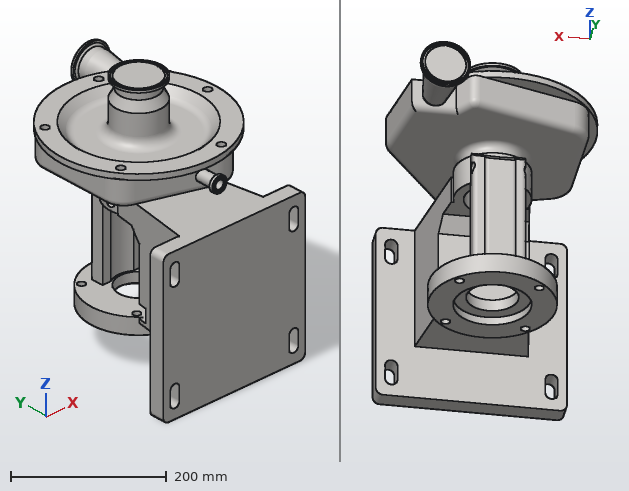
import cadquery as cq
import math


PLATE_SIZE = 249.8
PLATE_THICKNESS = 25.0
PLATE_BACK_Y = -180.0
PLATE_FRONT_Y = PLATE_BACK_Y + PLATE_THICKNESS
PLATE_CORNER_R = 9.5
SLOT_LENGTH = 36.2
SLOT_WIDTH = 16.0
SLOT_PITCH_X = 209.2
SLOT_PITCH_Z = 180.5

BRACKET_TOP_Z = PLATE_SIZE
BRACKET_BOTTOM_Z = 76.5
BRACKET_ROOT_HALF_WIDTH = 74.0
BRACKET_TIP_HALF_WIDTH = 51.2
BRACKET_TIP_Y = -15.5
BRACKET_INNER_Y = -64.2
BRACKET_CHAMFER_Y = 17.7
BRACKET_CHAMFER_Z = 19.5
NOTCH_HEIGHT = 22.0
NOTCH_END_Y = -78.8
NOTCH_DEPTH_X = 28.8

HUB_R = 50.5
HUB_BOTTOM_Z = 212.8
HUB_TOP_Z = 253.0
BORE_R = 37.0
SIDE_HOLE_R = 7.5
SIDE_HOLE_Z = 225.8

RING_R = 83.0
RING_HOLE_R = 34.0
RING_BOTTOM_Z = 55.5
RING_TOP_Z = 82.7
RING_SPIGOT_R = 50.5
RING_SPIGOT_DEPTH = 11.0
RING_BOLT_CIRCLE_R = 73.5
RING_BOLT_COUNT = 4
RING_BOLT_HOLE_R = 6.0

POST_HALF_WIDTH = 34.5
POST_INNER_Y = 31.0
POST_STEP_Y = 55.0
POST_OUTER_Y = 64.5
POST_CORNER_R = 6.5
RIB_HALF_WIDTH = 19.7
RIB_CORNER_R = 4.7
POST_SLOPE_Y = 21.3
POST_SLOPE_Z = 17.5
POST_HOLE_R = 7.0
POST_HOLE_Y = 47.0
POST_HOLE_Z = 229.7

SIDES = 5
CORNER_STEP = 360 / SIDES
CASING_APOTHEM = 114.5
CASING_CORNER_R = 33.0
CASING_NOSE_R = 12.0
CASING_NOSE_SHIFT = 4.5
CASING_BOTTOM_Z = 272.3
CASING_EDGE_R = 9.5
OUTLET_PAD_X = 124.5
OUTLET_PAD_Y = 110.5
OUTLET_SIDE_TILT = 9.1
NECK_R = 41.8
NECK_FILLET_R = 9.0

DISC_R = 135.0
DISC_BOTTOM_Z = 315.5
DISC_TOP_Z = 325.0
DISC_BOLT_CIRCLE_R = 121.5
DISC_BOLT_HOLE_R = 6.5
RECESS_TOP_R = 105.0
RECESS_FLOOR_R = 83.5
RECESS_FLOOR_Z = 309.3
RECESS_FILLET_R = 14.5
RECESS_WALL_ANGLE = 45

INLET_TOP_Z = 394.0
INLET_RIM_R = 39.5
INLET_TUBE_R = 31.5
INLET_CONE_TOP_Z = 375.0
INLET_CONE_BOTTOM_Z = 359.7
INLET_BARREL_R = 39.5
INLET_FILLET_R = 15.5

OUTLET_X = 95.5
OUTLET_Z = 292.7
OUTLET_FACE_Y = 195.0
OUTLET_RIM_R = 32.5
OUTLET_TUBE_R = 25.5
OUTLET_CONE_TOP_Y = 176.0
OUTLET_CONE_BOTTOM_Y = 113.5
OUTLET_THROAT_R = 15.8
OUTLET_STUB_R = 13.5

DRAIN_Z = 295.5
DRAIN_FACE_Y = -152.0
DRAIN_RIM_R = 13.0
DRAIN_TUBE_R = 9.5
DRAIN_BORE_R = 7.0
DRAIN_BORE_DEPTH = 23.5
DRAIN_RIM_THICKNESS = 5.0
DRAIN_GROOVE_WIDTH = 2.0
DRAIN_LENGTH = 35.5

RIM_THICKNESS = 4.0
RIM_LEDGE = 3.0
TAPER_HEIGHT = 2.8
GROOVE_MARGIN = 2.5
GROOVE_WIDTH = 3.0
GROOVE_DEPTH = 1.5


def block(x_half, y_low, y_high, z_low, z_high):
    """Box centred on X = 0."""
    return cq.Workplane("XY").box(
        2 * x_half, y_high - y_low, z_high - z_low, centered=(True, False, False)
    ).translate((0, y_low, z_low))


def cylinder(radius, z_low, z_high):
    """Cylinder on the Z axis."""
    return cq.Workplane("XY").workplane(offset=z_low).circle(radius).extrude(z_high - z_low)


def mounting_plate():
    """Square plate with four upright slots."""
    plate = block(PLATE_SIZE / 2, PLATE_BACK_Y, PLATE_FRONT_Y, 0, PLATE_SIZE)
    plate = plate.edges("|Y").fillet(PLATE_CORNER_R)
    slot_centre_z = PLATE_SIZE / 2
    slots = (
        cq.Workplane("XZ", origin=(0, PLATE_FRONT_Y, slot_centre_z))
        .rarray(SLOT_PITCH_X, SLOT_PITCH_Z, 2, 2)
        .slot2D(SLOT_LENGTH, SLOT_WIDTH, 90)
        .extrude(PLATE_THICKNESS)
    )
    return plate.cut(slots)


def bracket_half_width(y):
    fraction = (BRACKET_TIP_Y - y) / (BRACKET_TIP_Y - PLATE_FRONT_Y)
    return BRACKET_TIP_HALF_WIDTH + fraction * (BRACKET_ROOT_HALF_WIDTH - BRACKET_TIP_HALF_WIDTH)


def bracket_arm():
    """L-shaped arm, narrowing from the plate to the hub."""
    side_profile = (
        cq.Workplane("YZ")
        .moveTo(PLATE_FRONT_Y, BRACKET_BOTTOM_Z)
        .lineTo(BRACKET_INNER_Y, BRACKET_BOTTOM_Z)
        .lineTo(BRACKET_INNER_Y, HUB_BOTTOM_Z - BRACKET_CHAMFER_Z)
        .lineTo(BRACKET_INNER_Y + BRACKET_CHAMFER_Y, HUB_BOTTOM_Z)
        .lineTo(BRACKET_TIP_Y, HUB_BOTTOM_Z)
        .lineTo(BRACKET_TIP_Y, BRACKET_TOP_Z)
        .lineTo(PLATE_FRONT_Y, BRACKET_TOP_Z)
        .close()
        .extrude(BRACKET_ROOT_HALF_WIDTH, both=True)
    )
    plan = (
        cq.Workplane("XY")
        .polyline([
            (-BRACKET_ROOT_HALF_WIDTH, PLATE_FRONT_Y),
            (BRACKET_ROOT_HALF_WIDTH, PLATE_FRONT_Y),
            (BRACKET_TIP_HALF_WIDTH, BRACKET_TIP_Y),
            (-BRACKET_TIP_HALF_WIDTH, BRACKET_TIP_Y),
        ])
        .close()
        .extrude(BRACKET_TOP_Z)
    )
    arm = side_profile.intersect(plan)

    for side in (-1, 1):
        notch = (
            cq.Workplane("XY", origin=(0, 0, RING_TOP_Z))
            .polyline([
                (side * bracket_half_width(NOTCH_END_Y), NOTCH_END_Y),
                (side * BRACKET_ROOT_HALF_WIDTH, BRACKET_INNER_Y),
                (side * (bracket_half_width(BRACKET_INNER_Y) - NOTCH_DEPTH_X), BRACKET_INNER_Y),
            ])
            .close()
            .extrude(NOTCH_HEIGHT)
        )
        arm = arm.cut(notch)
    return arm


def motor_ring():
    """Bolted ring with a stepped centre hole, wider underneath."""
    bolt_holes = (
        cq.Workplane("XY", origin=(0, 0, RING_BOTTOM_Z))
        .polarArray(RING_BOLT_CIRCLE_R, 180 / RING_BOLT_COUNT, 360, RING_BOLT_COUNT)
        .circle(RING_BOLT_HOLE_R)
        .extrude(RING_TOP_Z - RING_BOTTOM_Z)
    )
    centre_hole = cylinder(RING_HOLE_R, RING_BOTTOM_Z, RING_TOP_Z)
    spigot_recess = cylinder(RING_SPIGOT_R, RING_BOTTOM_Z, RING_BOTTOM_Z + RING_SPIGOT_DEPTH)
    ring = cylinder(RING_R, RING_BOTTOM_Z, RING_TOP_Z)
    return ring.cut(centre_hole).cut(spigot_recess).cut(bolt_holes)


def post():
    """Stepped upright with a sloped top."""
    wide_part = block(POST_HALF_WIDTH, POST_INNER_Y, POST_STEP_Y, RING_TOP_Z, HUB_TOP_Z)
    wide_part = wide_part.edges("|Z and >Y").fillet(POST_CORNER_R)
    rib = block(RIB_HALF_WIDTH, POST_INNER_Y, POST_OUTER_Y, RING_TOP_Z, HUB_TOP_Z)
    rib = rib.edges("|Z and >Y").fillet(RIB_CORNER_R)
    slope = (
        cq.Workplane("YZ")
        .moveTo(POST_OUTER_Y, HUB_TOP_Z)
        .lineTo(POST_OUTER_Y - POST_SLOPE_Y, HUB_TOP_Z)
        .lineTo(POST_OUTER_Y, HUB_TOP_Z - POST_SLOPE_Z)
        .close()
        .extrude(POST_HALF_WIDTH, both=True)
    )
    return wide_part.union(rib).cut(slope)


def lantern():
    """Plate, arm, hub, post and ring with the hub bore and its cross holes."""
    hub = cylinder(HUB_R, HUB_BOTTOM_Z, HUB_TOP_Z)
    bore = cylinder(BORE_R, RING_TOP_Z, HUB_TOP_Z)
    side_hole = (
        cq.Workplane("YZ")
        .center(0, SIDE_HOLE_Z)
        .circle(SIDE_HOLE_R)
        .extrude(-HUB_R)
    )
    cross_hole = (
        cq.Workplane("YZ")
        .center(POST_HOLE_Y, POST_HOLE_Z)
        .circle(POST_HOLE_R)
        .extrude(POST_HALF_WIDTH, both=True)
    )
    body = mounting_plate().union(bracket_arm()).union(hub).union(post())
    return body.cut(bore).cut(side_hole).cut(cross_hole).union(motor_ring())


def direction(angle):
    """Unit vector at an angle in degrees from +X."""
    return (math.cos(math.radians(angle)), math.sin(math.radians(angle)))


def step_along(start, heading, length):
    return (start[0] + length * heading[0], start[1] + length * heading[1])


def pentagon_corner(index):
    """Corner of the plain pentagon, counted counter-clockwise from the one on +X."""
    corner_radius = CASING_APOTHEM / math.cos(math.pi / SIDES)
    return step_along((0, 0), direction(index * CORNER_STEP), corner_radius)


def outlet_side_corner(pad_corner):
    """Where the tilted side of the outlet pad meets the last pentagon side."""
    normal = direction(-CORNER_STEP / 2)
    side = direction(OUTLET_SIDE_TILT - 90)
    gap = CASING_APOTHEM - normal[0] * pad_corner[0] - normal[1] * pad_corner[1]
    return step_along(pad_corner, side, gap / (normal[0] * side[0] + normal[1] * side[1]))


def casing():
    """Five-sided casing with the corner on +X drawn out into the outlet pad."""
    pad_corner = (OUTLET_PAD_X, OUTLET_PAD_Y)
    rounded_corners = [pentagon_corner(index) for index in (2, 3, 4)]
    rounded_corners.append(outlet_side_corner(pad_corner))

    nose = step_along(pentagon_corner(1), direction(CORNER_STEP * 1.5 - 90), CASING_NOSE_SHIFT)
    nose_drop = nose[1] - OUTLET_PAD_Y
    pad_root = (nose[0] + nose_drop * math.tan(math.radians(CORNER_STEP / 2)), OUTLET_PAD_Y)

    body = (
        cq.Workplane("XY", origin=(0, 0, CASING_BOTTOM_Z))
        .polyline([nose, *rounded_corners, pad_corner, pad_root])
        .close()
        .extrude(DISC_BOTTOM_Z - CASING_BOTTOM_Z)
    )
    middle_z = (CASING_BOTTOM_Z + DISC_BOTTOM_Z) / 2
    for corner in rounded_corners:
        body = body.edges(cq.NearestToPointSelector((*corner, middle_z))).fillet(CASING_CORNER_R)
    body = body.edges(cq.NearestToPointSelector((*nose, middle_z))).fillet(CASING_NOSE_R)
    return body.faces("<Z").edges().fillet(CASING_EDGE_R)


def neck():
    """Round foot between hub and casing, flaring out at the casing."""
    return (
        cq.Workplane("XZ")
        .moveTo(0, HUB_TOP_Z)
        .lineTo(NECK_R, HUB_TOP_Z)
        .lineTo(NECK_R, CASING_BOTTOM_Z - NECK_FILLET_R)
        .radiusArc((NECK_R + NECK_FILLET_R, CASING_BOTTOM_Z), NECK_FILLET_R)
        .lineTo(0, CASING_BOTTOM_Z)
        .close()
        .revolve(360, (0, 0, 0), (0, 1, 0))
    )


def cover_disc():
    """Disc with one bolt hole over each casing corner."""
    disc = cylinder(DISC_R, DISC_BOTTOM_Z, DISC_TOP_Z)
    bolt_holes = (
        cq.Workplane("XY", origin=(0, 0, DISC_BOTTOM_Z))
        .polarArray(DISC_BOLT_CIRCLE_R, 0, 360, SIDES)
        .circle(DISC_BOLT_HOLE_R)
        .extrude(DISC_TOP_Z - DISC_BOTTOM_Z)
    )
    return disc.cut(bolt_holes)


def recess():
    """Dish with a sloped outer wall, filleted at the wall and at the inlet barrel."""
    wall_angle = math.radians(RECESS_WALL_ANGLE)
    cone_foot_r = RECESS_FLOOR_R + RECESS_FILLET_R * math.sin(wall_angle)
    cone_foot_z = RECESS_FLOOR_Z + RECESS_FILLET_R * (1 - math.cos(wall_angle))
    barrel_fillet_z = RECESS_FLOOR_Z + INLET_FILLET_R
    return (
        cq.Workplane("XZ")
        .moveTo(INLET_BARREL_R, DISC_TOP_Z)
        .lineTo(INLET_BARREL_R, barrel_fillet_z)
        .radiusArc((INLET_BARREL_R + INLET_FILLET_R, RECESS_FLOOR_Z), -INLET_FILLET_R)
        .lineTo(RECESS_FLOOR_R, RECESS_FLOOR_Z)
        .radiusArc((cone_foot_r, cone_foot_z), -RECESS_FILLET_R)
        .lineTo(RECESS_TOP_R, DISC_TOP_Z)
        .close()
        .revolve(360, (0, 0, 0), (0, 1, 0))
    )


def clamp_nozzle(rim_radius, tube_radius, sections):
    """Solid nozzle with its clamp face on Z = 0, running down along -Z.

    The sections below the flange are (radius, depth) corners of the outline.
    """
    profile = (
        cq.Workplane("XZ")
        .moveTo(0, 0)
        .lineTo(rim_radius, 0)
        .lineTo(rim_radius, -RIM_THICKNESS)
        .lineTo(rim_radius - RIM_LEDGE, -RIM_THICKNESS)
        .lineTo(tube_radius, -RIM_THICKNESS - TAPER_HEIGHT)
    )
    for radius, depth in sections:
        profile = profile.lineTo(radius, -depth)
    return profile.lineTo(0, -sections[-1][1]).close().revolve(360, (0, 0, 0), (0, 1, 0))


def gasket_groove(rim_radius, width):
    """Ring-shaped groove below a clamp face on Z = 0."""
    outer_radius = rim_radius - GROOVE_MARGIN
    return (
        cq.Workplane("XY")
        .circle(outer_radius)
        .circle(outer_radius - width)
        .extrude(-GROOVE_DEPTH)
    )


def inlet_nozzle():
    sections = [
        (INLET_TUBE_R, INLET_TOP_Z - INLET_CONE_TOP_Z),
        (INLET_BARREL_R, INLET_TOP_Z - INLET_CONE_BOTTOM_Z),
        (INLET_BARREL_R, INLET_TOP_Z - DISC_TOP_Z),
    ]
    nozzle = clamp_nozzle(INLET_RIM_R, INLET_TUBE_R, sections)
    nozzle = nozzle.cut(gasket_groove(INLET_RIM_R, GROOVE_WIDTH))
    return nozzle.translate((0, 0, INLET_TOP_Z))


def outlet_nozzle():
    cone_end = OUTLET_FACE_Y - OUTLET_CONE_BOTTOM_Y
    sections = [
        (OUTLET_TUBE_R, OUTLET_FACE_Y - OUTLET_CONE_TOP_Y),
        (OUTLET_THROAT_R, cone_end),
        (OUTLET_STUB_R, cone_end),
        (OUTLET_STUB_R, OUTLET_FACE_Y - OUTLET_PAD_Y),
    ]
    nozzle = clamp_nozzle(OUTLET_RIM_R, OUTLET_TUBE_R, sections)
    nozzle = nozzle.cut(gasket_groove(OUTLET_RIM_R, GROOVE_WIDTH))
    nozzle = nozzle.rotate((0, 0, 0), (1, 0, 0), -90)
    return nozzle.translate((OUTLET_X, OUTLET_FACE_Y, OUTLET_Z))


def drain_nozzle():
    """Plain flanged tube with a blind bore, sunk into the casing."""
    nozzle = cylinder(DRAIN_RIM_R, -DRAIN_RIM_THICKNESS, 0)
    nozzle = nozzle.union(cylinder(DRAIN_TUBE_R, -DRAIN_LENGTH, 0))
    nozzle = nozzle.cut(cylinder(DRAIN_BORE_R, -DRAIN_BORE_DEPTH, 0))
    nozzle = nozzle.cut(gasket_groove(DRAIN_RIM_R, DRAIN_GROOVE_WIDTH))
    nozzle = nozzle.rotate((0, 0, 0), (1, 0, 0), 90)
    return nozzle.translate((0, DRAIN_FACE_Y, DRAIN_Z))


pump = casing().union(neck()).union(cover_disc()).cut(recess())
pump = pump.union(inlet_nozzle()).union(outlet_nozzle()).union(drain_nozzle())
result = lantern().union(pump)